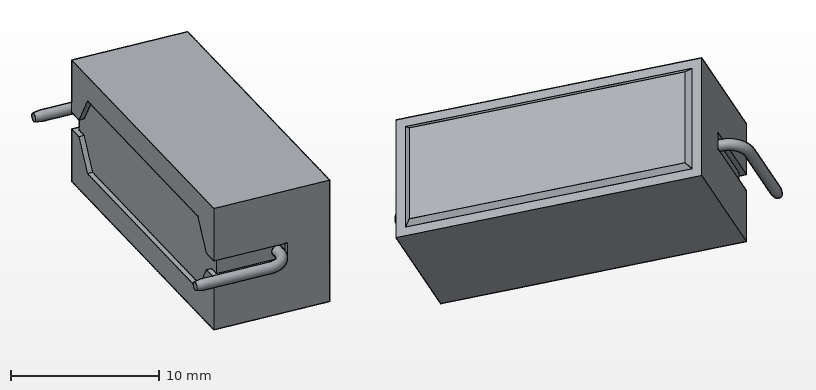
import cadquery as cq

total_length = 25.8
total_depth = 11.12

housing_length = 22.02
housing_depth = 8.7
housing_height = 9.5

pad_rise = 0.3
pad_margin = 0.7
pad_inset = 0.4

recess_depth = 0.4
recess_half_height = 2.85
recess_half_length = 8.55
neck_start = 9.85
slot_width = 1.3
slot_reach = 5.52

wire_diameter = 0.8
wire_y = 4.93
tip_length = 0.52
tip_diameter = 0.62

half_length = housing_length / 2
neck_half_height = slot_width / 2
leg_x = (total_length - wire_diameter) / 2
bend_radius = leg_x - half_length
leg_start_y = wire_y - bend_radius
tip_end_y = housing_depth + pad_rise - total_depth
tip_start_y = tip_end_y + tip_length


def make_pad():
    """Rectangular frustum standing on the rear face."""
    base_length = housing_length - 2 * pad_margin
    base_height = housing_height - 2 * pad_margin
    return (
        cq.Workplane("XZ", origin=(0, housing_depth, 0))
        .rect(base_length, base_height)
        .workplane(offset=-pad_rise)
        .rect(base_length - 2 * pad_inset, base_height - 2 * pad_inset)
        .loft(ruled=True)
    )


def make_recess():
    """Long front recess that narrows to a neck opening at each end."""
    upper_edge = [
        (-half_length, neck_half_height),
        (-neck_start, neck_half_height),
        (-recess_half_length, recess_half_height),
        (recess_half_length, recess_half_height),
        (neck_start, neck_half_height),
        (half_length, neck_half_height),
    ]
    lower_edge = [(x, -z) for x, z in reversed(upper_edge)]
    return cq.Workplane("XZ").polyline(upper_edge + lower_edge).close().extrude(-recess_depth)


def make_end_slot(side):
    """Shallow slot in one end face, open toward the front."""
    slot_x = side * (half_length - recess_depth / 2)
    return (
        cq.Workplane("XY")
        .box(recess_depth, slot_reach, slot_width)
        .translate((slot_x, slot_reach / 2, 0))
    )


def make_leg_tip(side):
    """Tapered end of one leg."""
    return (
        cq.Workplane("XZ", origin=(side * leg_x, tip_start_y, 0))
        .circle(wire_diameter / 2)
        .workplane(offset=tip_length)
        .circle(tip_diameter / 2)
        .loft(ruled=True)
    )


def make_lead():
    """Round wire swept along its bent centre line, with a taper at both tips."""
    path = (
        cq.Workplane("XY")
        .moveTo(-leg_x, tip_start_y)
        .lineTo(-leg_x, leg_start_y)
        .tangentArcPoint((-half_length, wire_y), relative=False)
        .lineTo(half_length, wire_y)
        .tangentArcPoint((leg_x, leg_start_y), relative=False)
        .lineTo(leg_x, tip_start_y)
    )
    wire = (
        cq.Workplane("XZ", origin=(-leg_x, tip_start_y, 0))
        .circle(wire_diameter / 2)
        .sweep(path)
    )
    for side in (-1, 1):
        wire = wire.union(make_leg_tip(side))
    return wire


def make_housing():
    """Block with its rear pad, front recess, end slots and a bore for the lead."""
    block = (
        cq.Workplane("XY")
        .box(housing_length, housing_depth, housing_height)
        .translate((0, housing_depth / 2, 0))
    )
    block = block.union(make_pad()).cut(make_recess())
    for side in (-1, 1):
        block = block.cut(make_end_slot(side))
    bore = (
        cq.Workplane("YZ", origin=(-half_length, wire_y, 0))
        .circle(wire_diameter / 2)
        .extrude(housing_length)
    )
    return block.cut(bore)


housing = make_housing()
lead = make_lead()

result = cq.Compound.makeCompound([housing.solids().val(), lead.solids().val()])